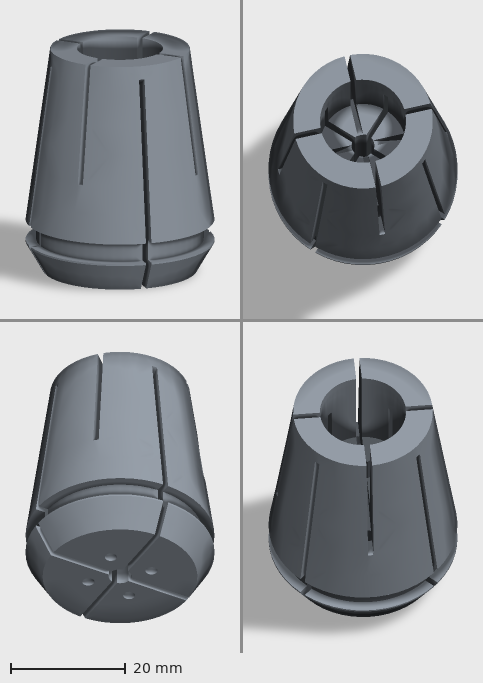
import cadquery as cq
import math

height = 40.0
body_diameter = 33.0
top_diameter = 24.4
cone_base_z = 9.0
neck_diameter = 29.3
flange_top_z = 5.45
flange_rim_height = 0.3
bottom_diameter = 27.05

bore_diameter = 15.05
bore_depth = 16.0
small_bore_diameter = 4.0

slots_per_side = 4
slot_pitch = 360.0 / slots_per_side
slot_width = 1.0
slot_reach = 24.0

lower_saw_radius = 24.0
lower_end_bore_z = 33.6
lower_end_outer_radius = 12.55
lower_end_outer_z = 37.7

upper_saw_radius = 16.0
upper_floor_z = 18.8
upper_floor_radius = 13.5

hole_diameter = 2.1
hole_radius = 10.85
hole_tilt = 15.0


def cut_around(body, tool, first_angle):
    """Cut copies of the tool from the body, spaced evenly around Z."""
    for i in range(slots_per_side):
        angle = first_angle + i * slot_pitch
        body = body.cut(tool.rotate((0, 0, 0), (0, 0, 1), angle))
    return body


def make_body():
    """Solid of revolution: beveled flange, neck and long taper."""
    return (
        cq.Workplane("XZ")
        .lineTo(bottom_diameter / 2, 0)
        .lineTo(body_diameter / 2, flange_top_z - flange_rim_height)
        .lineTo(body_diameter / 2, flange_top_z)
        .lineTo(neck_diameter / 2, flange_top_z)
        .lineTo(neck_diameter / 2, cone_base_z)
        .lineTo(body_diameter / 2, cone_base_z)
        .lineTo(top_diameter / 2, height)
        .lineTo(0, height)
        .close()
        .revolve(360, (0, 0, 0), (0, 1, 0))
    )


def cut_bore(body):
    """Wide bore from the top, narrow bore right through."""
    top_face = cq.Workplane("XY").workplane(offset=height)
    wide = top_face.circle(bore_diameter / 2).extrude(-bore_depth)
    narrow = top_face.circle(small_bore_diameter / 2).extrude(-height)
    return body.cut(wide).cut(narrow)


def make_lower_slot():
    """Slot along +X, open at the bottom, with an end that rises outward along an arc."""
    inner = (bore_diameter / 2, lower_end_bore_z)
    outer = (lower_end_outer_radius, lower_end_outer_z)
    run = outer[0] - inner[0]
    rise = outer[1] - inner[1]
    chord = math.hypot(run, rise)
    bulge = lower_saw_radius - math.sqrt(lower_saw_radius**2 - (chord / 2) ** 2)
    middle = (
        (inner[0] + outer[0]) / 2 - bulge * rise / chord,
        (inner[1] + outer[1]) / 2 + bulge * run / chord,
    )
    return (
        cq.Workplane("XZ")
        .lineTo(0, lower_end_bore_z)
        .lineTo(*inner)
        .threePointArc(middle, outer)
        .lineTo(slot_reach, lower_end_outer_z)
        .lineTo(slot_reach, 0)
        .close()
        .extrude(slot_width / 2, both=True)
    )


def upper_floor_height(radius):
    """Height of the upper slot floor at a given distance from the axis."""
    offset = radius - upper_floor_radius
    return upper_floor_z + upper_saw_radius - math.sqrt(upper_saw_radius**2 - offset**2)


def make_upper_slot(width):
    """Slot along +X, open at the top, with the arc as its floor."""
    lowest_point = (upper_floor_radius, upper_floor_z)
    outer_end = (slot_reach, upper_floor_height(slot_reach))
    return (
        cq.Workplane("XZ")
        .moveTo(0, height)
        .lineTo(0, upper_floor_height(0))
        .threePointArc(lowest_point, outer_end)
        .lineTo(slot_reach, height)
        .close()
        .extrude(width / 2, both=True)
    )


def make_slanted_hole():
    """Hole from the slot floor to the bottom face, leaning toward the axis on its way down."""
    mouth_z = upper_floor_height(hole_radius)
    length_below_mouth = mouth_z / math.cos(math.radians(hole_tilt)) + hole_diameter
    drill = (
        cq.Workplane("XY")
        .workplane(offset=-length_below_mouth)
        .circle(hole_diameter / 2)
        .extrude(length_below_mouth + hole_diameter)
        .rotate((0, 0, 0), (0, 1, 0), hole_tilt)
        .translate((hole_radius, 0, mouth_z))
    )
    return drill.cut(make_upper_slot(2 * hole_diameter))


result = cut_bore(make_body())
result = cut_around(result, make_lower_slot(), 0)
result = cut_around(result, make_upper_slot(slot_width), slot_pitch / 2)
result = cut_around(result, make_slanted_hole(), slot_pitch / 2)